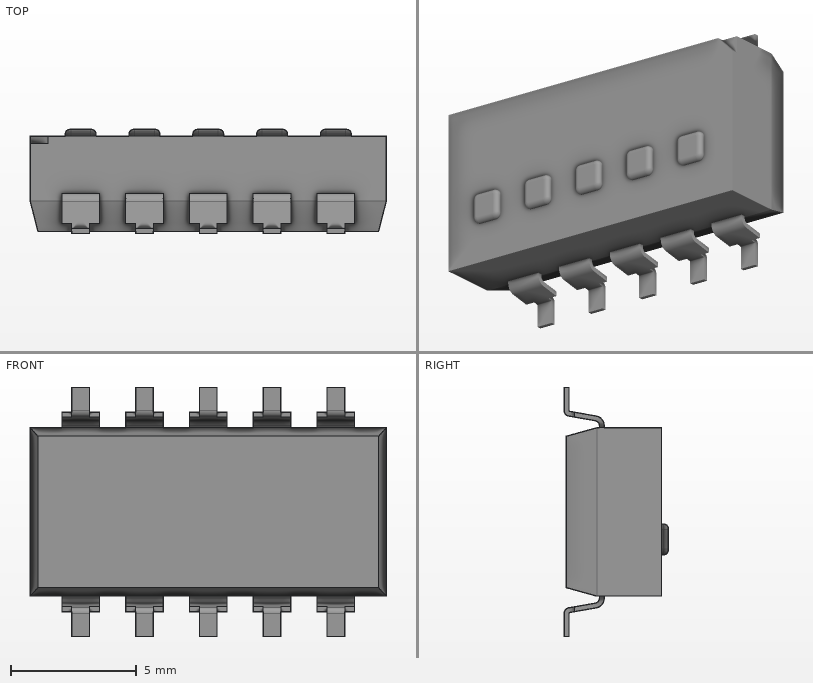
import cadquery as cq
import math


body_length = 14.17
body_height = 6.7
body_front = 0.09
taper_depth = 1.22
body_depth = 3.8
taper_inset_x = 0.31
taper_inset_z = 0.34
body_back = body_front + body_depth
taper_end = body_front + taper_depth

mark_leg = 0.71
mark_depth = 0.3

position_count = 5
pitch = 2.54

lead_span = 9.9
lead_thickness = 0.2
lead_wide = 1.5
lead_narrow = 0.71
shoulder_y = 0.41
lead_back = 1.6
foot_length = 0.92
root_bend_radius = 0.2
foot_bend_radius = 0.03
slope_angle = 10.0
root_embed = 0.14

button_size = 1.23
button_height = 0.27
button_corner_radius = 0.23
button_edge_radius = 0.2
button_z = -1.09


def make_body():
    """Block with a tapered front, and one corner of the back face cut off."""
    back_block = cq.Workplane("XY").box(
        body_length, body_back - taper_end, body_height, centered=(True, False, True)
    ).translate((0, taper_end, 0))
    taper = (
        cq.Workplane("XZ", origin=(0, taper_end, 0))
        .rect(body_length, body_height)
        .workplane(offset=taper_depth)
        .rect(body_length - 2 * taper_inset_x, body_height - 2 * taper_inset_z)
        .loft(ruled=True)
    )
    corner_x = -body_length / 2
    corner_z = body_height / 2
    corner_mark = (
        cq.Workplane("XZ", origin=(0, body_back, 0))
        .moveTo(corner_x, corner_z)
        .lineTo(corner_x + mark_leg, corner_z)
        .lineTo(corner_x, corner_z - mark_leg)
        .close()
        .extrude(mark_depth)
    )
    return back_block.union(taper).cut(corner_mark)


def polar(center, radius, angle):
    """Point at an angle in degrees, counted from +Y toward +Z."""
    turn = math.radians(angle)
    return (center[0] + radius * math.cos(turn), center[1] + radius * math.sin(turn))


def make_upper_lead():
    """Bent strip: out of the body, along a slope, then up into the foot."""
    root_outer = root_bend_radius + lead_thickness
    foot_outer = foot_bend_radius + lead_thickness
    bend_angle = 90 - slope_angle
    slope = math.radians(slope_angle)

    foot_center = (foot_outer, lead_span / 2 - foot_length)
    root_center_y = lead_back - root_outer
    center_offset = root_bend_radius + foot_outer
    slope_length = (
        root_center_y - foot_center[0] + center_offset * math.sin(slope)
    ) / math.cos(slope)
    root_center_z = (
        foot_center[1] - center_offset * math.cos(slope) - slope_length * math.sin(slope)
    )
    root_center = (root_center_y, root_center_z)

    root_z = body_height / 2 - root_embed
    tip_z = lead_span / 2
    foot_angle = 180 + bend_angle
    foot_middle = 180 + bend_angle / 2
    profile = (
        cq.Workplane("YZ")
        .moveTo(lead_back, root_z)
        .lineTo(*polar(root_center, root_outer, 0))
        .threePointArc(
            polar(root_center, root_outer, bend_angle / 2),
            polar(root_center, root_outer, bend_angle),
        )
        .lineTo(*polar(foot_center, foot_bend_radius, foot_angle))
        .threePointArc(
            polar(foot_center, foot_bend_radius, foot_middle),
            polar(foot_center, foot_bend_radius, 180),
        )
        .lineTo(lead_thickness, tip_z)
        .lineTo(0, tip_z)
        .lineTo(*polar(foot_center, foot_outer, 180))
        .threePointArc(
            polar(foot_center, foot_outer, foot_middle),
            polar(foot_center, foot_outer, foot_angle),
        )
        .lineTo(*polar(root_center, root_bend_radius, bend_angle))
        .threePointArc(
            polar(root_center, root_bend_radius, bend_angle / 2),
            polar(root_center, root_bend_radius, 0),
        )
        .lineTo(lead_back - lead_thickness, root_z)
        .close()
    )
    strip = profile.extrude(lead_wide / 2, both=True)

    side_width = (lead_wide - lead_narrow) / 2
    side_x = (lead_wide + lead_narrow) / 4
    for side in (-1, 1):
        side_cut = cq.Workplane("XY").box(
            side_width, shoulder_y, lead_span, centered=(True, False, True)
        ).translate((side * side_x, 0, 0))
        strip = strip.cut(side_cut)
    return strip


def make_button():
    """Low square button with rounded corners and a rounded outer edge."""
    return (
        cq.Workplane("XZ", origin=(0, body_back, button_z))
        .rect(button_size, button_size)
        .extrude(-button_height)
        .edges("|Y")
        .fillet(button_corner_radius)
        .faces(">Y")
        .edges()
        .fillet(button_edge_radius)
    )


upper_lead = make_upper_lead()
lower_lead = upper_lead.mirror("XY")
button = make_button()

result = make_body()
for index in range(position_count):
    position_x = (index - (position_count - 1) / 2) * pitch
    for feature in (upper_lead, lower_lead, button):
        result = result.union(feature.translate((position_x, 0, 0)))